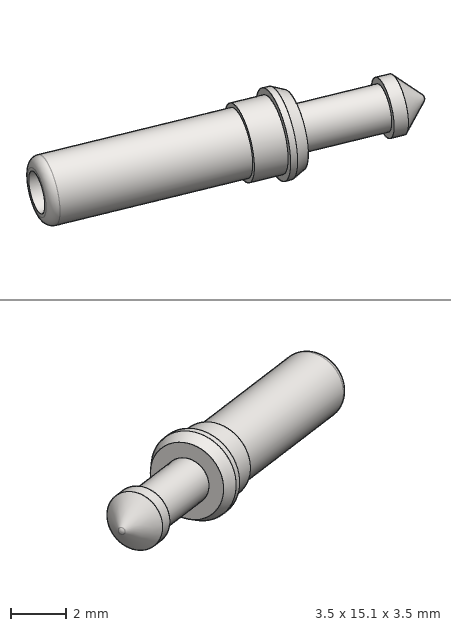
import cadquery as cq
import math

total_length = 15.1

sleeve_radius = 1.33
sleeve_length = 7.9
rim_rounding = 0.4
bore_radius = 0.8
bore_depth = 0.8

collar_radius = 1.5
collar_length = 1.31

flange_radius = 1.75
flange_front_radius = 1.51
flange_rim_length = 0.27
flange_taper_length = 0.51

plunger_radius = 0.9
head_radius = 1.15
head_rim_length = 0.56
cone_half_angle = math.radians(45)
tip_ball_radius = 0.2

collar_front = sleeve_length + collar_length
flange_rim_front = collar_front + flange_rim_length
flange_front = flange_rim_front + flange_taper_length
ball_centre = total_length - tip_ball_radius
tangent_radius = tip_ball_radius * math.cos(cone_half_angle)
tangent_station = ball_centre + tip_ball_radius * math.sin(cone_half_angle)
tip_mid_angle = (cone_half_angle + math.radians(90)) / 2
tip_mid_radius = tip_ball_radius * math.cos(tip_mid_angle)
tip_mid_station = ball_centre + tip_ball_radius * math.sin(tip_mid_angle)
point_base = tangent_station - (head_radius - tangent_radius) / math.tan(cone_half_angle)
head_rear = point_base - head_rim_length

half_section = (
    cq.Workplane("XY")
    .moveTo(0, 0)
    .lineTo(sleeve_radius, 0)
    .lineTo(sleeve_radius, sleeve_length)
    .lineTo(collar_radius, sleeve_length)
    .lineTo(collar_radius, collar_front)
    .lineTo(flange_radius, collar_front)
    .lineTo(flange_radius, flange_rim_front)
    .lineTo(flange_front_radius, flange_front)
    .lineTo(plunger_radius, flange_front)
    .lineTo(plunger_radius, head_rear)
    .lineTo(head_radius, head_rear)
    .lineTo(head_radius, point_base)
    .lineTo(tangent_radius, tangent_station)
    .threePointArc((tip_mid_radius, tip_mid_station), (0, total_length))
    .close()
)
pin = half_section.revolve(360, (0, 0, 0), (0, 1, 0))

pin = pin.faces("<Y").edges().fillet(rim_rounding)

bore = cq.Workplane("XZ").circle(bore_radius).extrude(-bore_depth)

result = pin.cut(bore)